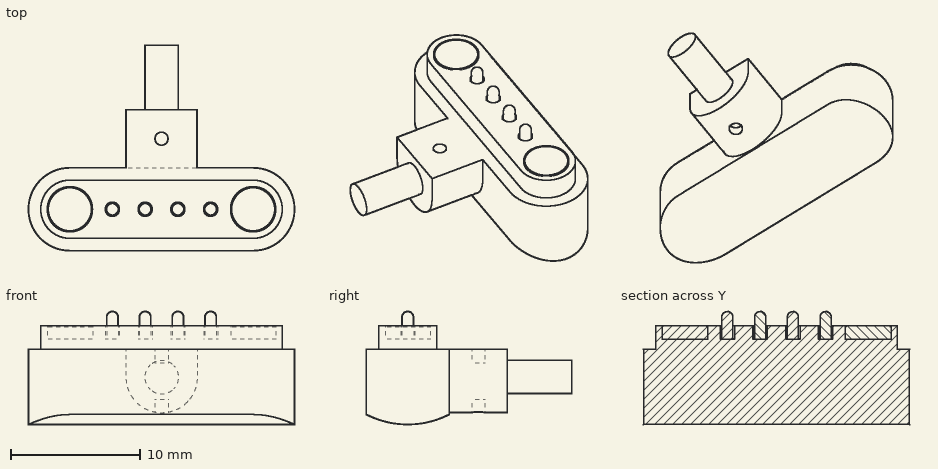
import cadquery as cq

length = 20.6
width = 6.43
shoulder_z = 5.83
face_z = 7.66
raised_width = 4.51
end_spacing = length - width
underside_rise = 0.78
underside_radius = ((width / 2) ** 2 + underside_rise**2) / (2 * underside_rise)

neck_width = 5.52
neck_end_y = 7.7
neck_bottom_z = 0.93
neck_axis_z = neck_bottom_z + neck_width / 2
neck_hole_diameter = 1.0
neck_hole_depth = 1.03
neck_hole_y = (width / 2 + neck_end_y) / 2

cable_diameter = 2.6
cable_end_y = 12.69

pin_count = 4
pin_pitch = 2.53
pin_diameter = 0.9
pin_hole_diameter = 1.1
pin_depth = 1.03
pin_tip_z = 8.75

magnet_diameter = 3.5
magnet_chamfer = 0.08
magnet_depth = 1.03

pin_points = [((i - (pin_count - 1) / 2) * pin_pitch, 0) for i in range(pin_count)]
magnet_points = [(-end_spacing / 2, 0), (end_spacing / 2, 0)]


def stadium(stadium_width, bottom_z, top_z):
    """Upright block with round ends centred on the magnet axes."""
    outline = cq.Workplane("XY", origin=(0, 0, bottom_z)).slot2D(end_spacing + stadium_width, stadium_width)
    return outline.extrude(top_z - bottom_z)


def make_neck():
    half = neck_width / 2
    return (
        cq.Workplane("XZ")
        .moveTo(-half, shoulder_z)
        .lineTo(-half, neck_axis_z)
        .threePointArc((0, neck_bottom_z), (half, neck_axis_z))
        .lineTo(half, shoulder_z)
        .close()
        .extrude(-neck_end_y)
    )


def cylinders(points, diameter, bottom_z, top_z):
    """Upright cylinders at the given XY points."""
    base = cq.Workplane("XY", origin=(0, 0, bottom_z)).pushPoints(points)
    return base.circle(diameter / 2).extrude(top_z - bottom_z)


def make_housing():
    underside_circle = cq.Workplane("YZ").center(0, underside_radius).circle(underside_radius)
    underside = underside_circle.extrude(length / 2, both=True)
    base = stadium(width, 0, shoulder_z).intersect(underside)
    body = base.union(stadium(raised_width, shoulder_z, face_z)).union(make_neck())
    neck_hole = [(0, neck_hole_y)]
    body = body.cut(cylinders(neck_hole, neck_hole_diameter, shoulder_z - neck_hole_depth, shoulder_z))
    lower_hole_top_z = neck_bottom_z + neck_hole_depth
    body = body.cut(cylinders(neck_hole, neck_hole_diameter, neck_bottom_z, lower_hole_top_z))
    body = body.cut(cylinders(pin_points, pin_hole_diameter, face_z - pin_depth, face_z))
    return body.cut(cylinders(magnet_points, magnet_diameter, face_z - magnet_depth, face_z))


def make_cable():
    """Round cable that starts on the rear face of the neck."""
    cable = cq.Workplane("XZ", origin=(0, neck_end_y, neck_axis_z)).circle(cable_diameter / 2)
    return cable.extrude(neck_end_y - cable_end_y)


def make_pin(point):
    radius = pin_diameter / 2
    dome_z = pin_tip_z - radius
    shaft = cylinders([point], pin_diameter, face_z - pin_depth, dome_z)
    dome = cq.Workplane("XY", origin=(*point, dome_z)).sphere(radius)
    return shaft.union(dome)


def make_magnet(point):
    magnet = cylinders([point], magnet_diameter, face_z - magnet_depth, face_z)
    return magnet.faces(">Z").chamfer(magnet_chamfer)


housing = make_housing()
cable = make_cable()
pins = [make_pin(point) for point in pin_points]
magnets = [make_magnet(point) for point in magnet_points]

result = cq.Compound.makeCompound([body.val() for body in [housing, cable, *pins, *magnets]])